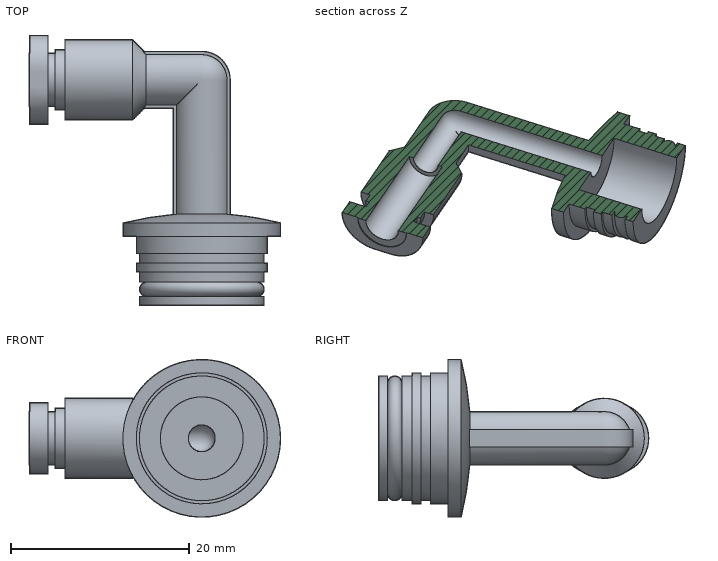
import cadquery as cq
import math


lower_land_end = 1.0
ring_end = 2.6
middle_land_end = 3.75
rib_end = 4.75
upper_land_end = 5.8
flange_start = 7.75
flange_rim_end = 9.25
dome_apex = 10.35

land_radius = 14.0 / 2
rib_radius = 14.7 / 2
flange_radius = 17.7 / 2
spigot_bore_radius = 9.3 / 2
spigot_bore_depth = flange_start

ring_section_radius = (ring_end - lower_land_end) / 2

elbow_y = 25.3
pipe_radius = 6.0 / 2
passage_radius = 3.0 / 2
web_width = 6.4
web_thickness = 2.0

sleeve_tip = -19.4
collar_start = -19.3
collar_end = -17.25
neck_ring_start = -16.45
body_start = -15.35
body_end = -7.75

sleeve_radius = 6.0 / 2
neck_ring_radius = 6.8 / 2
body_radius = 9.0 / 2
tube_socket_radius = 4.0 / 2
collar_width = 10.0
collar_height = 8.0
taper_end = body_end + body_radius - pipe_radius


def cylinder_x(radius, start, end):
    """Cylinder on the connector axis between two X stations."""
    plane = cq.Plane(origin=(start, elbow_y, 0), xDir=(0, 1, 0), normal=(1, 0, 0))
    return cq.Workplane(plane).circle(radius).extrude(end - start)


def cylinder_y(radius, start, end):
    """Cylinder on the spigot axis between two Y stations."""
    plane = cq.Plane(origin=(0, start, 0), xDir=(1, 0, 0), normal=(0, 1, 0))
    return cq.Workplane(plane).circle(radius).extrude(end - start)


def round_elbow(radius, x_start, y_start):
    """Two round legs that meet in a ball at the corner of the elbow."""
    ball = cq.Workplane("XY").sphere(radius).translate((0, elbow_y, 0))
    x_leg = cylinder_x(radius, x_start, 0)
    y_leg = cylinder_y(radius, y_start, elbow_y)
    return x_leg.union(y_leg).union(ball)


def make_spigot():
    """Revolved spigot with lands, rib, sealing ring, flange and domed top."""
    ring_centre_radius = land_radius - ring_section_radius
    ring_centre_y = lower_land_end + ring_section_radius
    dome_height = dome_apex - flange_rim_end
    dome_radius = (flange_radius**2 + dome_height**2) / (2 * dome_height)
    dome_centre_y = dome_apex - dome_radius
    dome_mid_x = flange_radius / 2
    dome_mid_y = dome_centre_y + math.sqrt(dome_radius**2 - dome_mid_x**2)
    profile = (
        cq.Workplane("XY")
        .lineTo(land_radius, 0)
        .lineTo(land_radius, lower_land_end)
        .lineTo(ring_centre_radius, lower_land_end)
        .threePointArc((land_radius, ring_centre_y), (ring_centre_radius, ring_end))
        .lineTo(land_radius, ring_end)
        .lineTo(land_radius, middle_land_end)
        .lineTo(rib_radius, middle_land_end)
        .lineTo(rib_radius, rib_end)
        .lineTo(land_radius, rib_end)
        .lineTo(land_radius, upper_land_end)
        .lineTo(rib_radius, upper_land_end)
        .lineTo(rib_radius, flange_start)
        .lineTo(flange_radius, flange_start)
        .lineTo(flange_radius, flange_rim_end)
        .threePointArc((dome_mid_x, dome_mid_y), (0, dome_apex))
        .close()
    )
    return profile.revolve(360, (0, 0, 0), (0, 1, 0))


def make_web():
    """Flat L-shaped web along both pipe legs, rounded at the outer corner."""
    half_width = web_width / 2
    leg_section = (web_width, web_thickness)
    x_leg = (
        cq.Workplane("YZ", origin=(body_end, elbow_y, 0))
        .rect(*leg_section)
        .extrude(-body_end)
    )
    y_leg = (
        cq.Workplane("XZ", origin=(0, elbow_y, 0))
        .rect(*leg_section)
        .extrude(elbow_y - flange_rim_end)
    )
    corner = (
        cq.Workplane("XY", origin=(0, elbow_y, -web_thickness / 2))
        .circle(half_width)
        .extrude(web_thickness)
    )
    return x_leg.union(y_leg).union(corner)


def make_connector():
    """Tapered body, neck ring, release sleeve and its oblong collar."""
    taper_length = taper_end - body_end
    body = (
        cylinder_x(body_radius, body_start, taper_end)
        .faces(">X")
        .chamfer(taper_length)
    )
    neck_ring = cylinder_x(neck_ring_radius, neck_ring_start, body_start)
    sleeve = cylinder_x(sleeve_radius, sleeve_tip, body_start)
    collar = (
        cq.Workplane("YZ", origin=(collar_start, elbow_y, 0))
        .slot2D(collar_width, collar_height)
        .extrude(collar_end - collar_start)
    )
    return body.union(neck_ring).union(sleeve).union(collar)


def make_passages():
    """Flow passage through the elbow, tube socket and spigot bore."""
    passage = round_elbow(passage_radius, sleeve_tip, 0)
    tube_socket = cylinder_x(tube_socket_radius, sleeve_tip, body_end)
    spigot_bore = cylinder_y(spigot_bore_radius, 0, spigot_bore_depth)
    return passage.union(tube_socket).union(spigot_bore)


pipe = round_elbow(pipe_radius, body_end, flange_rim_end)
outside = pipe.union(make_web()).union(make_spigot()).union(make_connector())
result = outside.cut(make_passages())